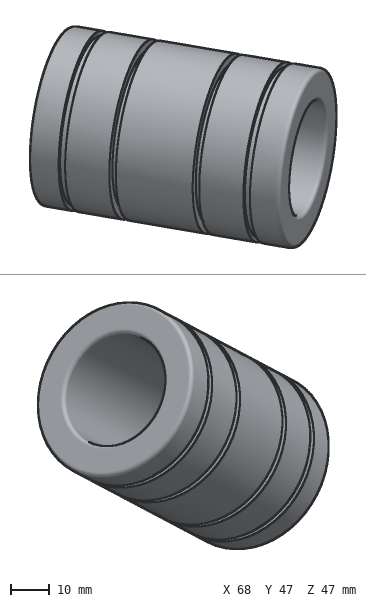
import cadquery as cq

length = 68.0
outer_diameter = 47.0
bore_diameter = 30.0
edge_radius = 1.1

groove_width = 1.8
outer_groove_offset = 25.0
outer_groove_depth = 1.2
inner_groove_offset = 11.3
inner_groove_depth = 2.5


def cylinder_along_x(diameter, width, centre_x):
    """Cylinder on the X axis, centred at centre_x."""
    start = cq.Workplane("YZ").workplane(offset=centre_x - width / 2)
    return start.circle(diameter / 2).extrude(width)


def groove_ring(centre_x, depth):
    """Ring of material removed by one outside groove."""
    blank = cylinder_along_x(outer_diameter, groove_width, centre_x)
    core = cylinder_along_x(outer_diameter - 2 * depth, groove_width, centre_x)
    return blank.cut(core)


sleeve = cylinder_along_x(outer_diameter, length, 0)
sleeve = sleeve.cut(cylinder_along_x(bore_diameter, length, 0))
sleeve = sleeve.faces("<X or >X").edges().fillet(edge_radius)

for side in (-1, 1):
    sleeve = sleeve.cut(groove_ring(side * outer_groove_offset, outer_groove_depth))
    sleeve = sleeve.cut(groove_ring(side * inner_groove_offset, inner_groove_depth))

result = sleeve